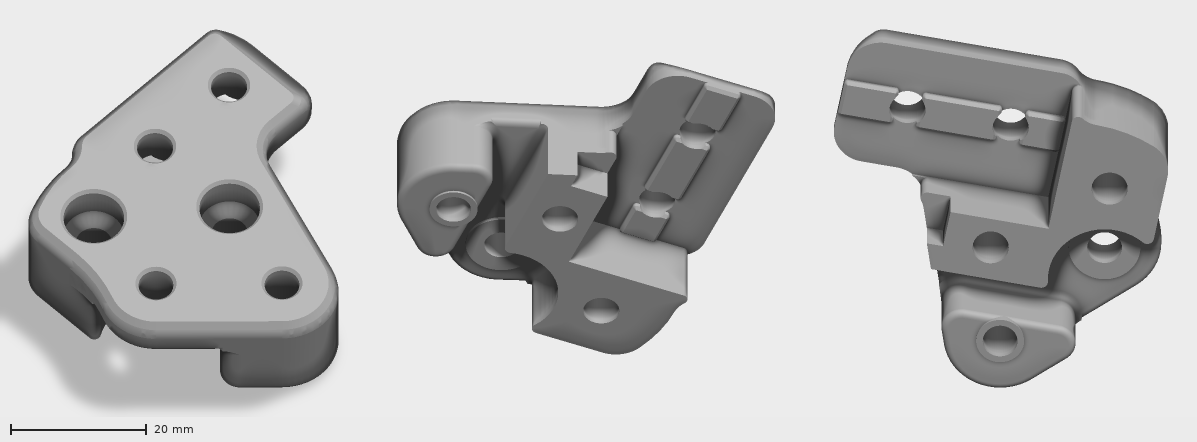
import cadquery as cq
import math

TOTAL_HEIGHT = 16.0
PLATE_THICKNESS = 5.55
ARM_THICKNESS = 6.05
POST_BOTTOM = 15.45
OVERLAP_DEPTH = 3.1

ARM_HOLE_PITCH = 15.5
ARM_HOLES = [(0, 0), (0, ARM_HOLE_PITCH)]
SCREW_HOLES = [(ARM_HOLE_PITCH, 0), (2.5, -15.35)]
POST_HOLE = (30.7, -4.35)
PAD_HOLE = (17.55, -17.5)

ARM_LEFT = -9.9
ARM_RIGHT = 10.2
ARM_END = 25.5
ARM_RADIUS = 5.0
LOBE_RADIUS = 8.35
LOWER_EDGE = -23.35
LOWER_CORNER_RADIUS = 5.0
SWEEP_RADIUS = 22.0
STEP_RADIUS = 4.0
STEP_START = -5.75
STEP_WIDTH = 2.35
INNER_CORNER_Y = 15.15

EDGE_CHAMFER = 1.5
END_CHAMFER = 4.45
TOP_BLEND = 2.0
UNDER_ROUND = 1.0

BLOCK_LEFT = 10.85
BLOCK_RIGHT = 20.75
LEDGE_Y = -7.75
NOSE_RADIUS = 0.9
ARM_LIP_Y = LEDGE_Y - 2 * NOSE_RADIUS
BLOCK_RADIUS = 1.0
NOTCH_X = 16.65
NOTCH_Y = 6.95
NOTCH_TOP = 11.1
POST_LEFT = 27.2
POST_RADIUS = 3.0

RIDGE_WIDTH = 5.8
RIDGE_HEIGHT = 1.05
RIDGE_CHAMFER = 0.45
RIDGE_CORNER = 0.5
RIDGE_GAP = 3.55
POST_PAD_HEIGHT = 0.35
LOWER_PAD_RADIUS = 5.3

SCREW_DIAMETER = 5.35
NARROW_DIAMETER = 5.15
COUNTERBORE_DIAMETER = 8.95
COUNTERBORE_DEPTH = 5.0
HOLE_CHAMFER = 0.45

REACH = 102.75
MIN_SEGMENT = 0.005


def outline_circles():
    """Circles that carry the outline, counter-clockwise; a negative radius is a hollow arc."""
    step_x = ARM_LEFT + STEP_WIDTH
    upper_step = (ARM_LEFT + STEP_RADIUS, STEP_START)
    lower_step_x = step_x - STEP_RADIUS
    step_drop = math.sqrt((2 * STEP_RADIUS) ** 2 - (upper_step[0] - lower_step_x) ** 2)
    lower_step = (lower_step_x, STEP_START - step_drop)

    side_sweep = (step_x + SWEEP_RADIUS, lower_step[1])
    corner_y = LOWER_EDGE + LOWER_CORNER_RADIUS
    corner_reach = math.sqrt((SWEEP_RADIUS - LOWER_CORNER_RADIUS) ** 2 - (side_sweep[1] - corner_y) ** 2)
    lower_corner = (side_sweep[0] - corner_reach, corner_y)

    sweep_y = LOWER_EDGE - SWEEP_RADIUS
    sweep_reach = math.sqrt((SWEEP_RADIUS + LOBE_RADIUS) ** 2 - (PAD_HOLE[1] - sweep_y) ** 2)
    lower_sweep = (PAD_HOLE[0] - sweep_reach, sweep_y)

    arm_corner_y = ARM_END - ARM_RADIUS
    return [
        (lower_corner, LOWER_CORNER_RADIUS),
        (lower_sweep, -SWEEP_RADIUS),
        (PAD_HOLE, LOBE_RADIUS),
        (POST_HOLE, LOBE_RADIUS),
        ((ARM_RIGHT + ARM_RADIUS, INNER_CORNER_Y), -ARM_RADIUS),
        ((ARM_RIGHT - ARM_RADIUS, arm_corner_y), ARM_RADIUS),
        ((ARM_LEFT + ARM_RADIUS, arm_corner_y), ARM_RADIUS),
        (upper_step, STEP_RADIUS),
        (lower_step, -STEP_RADIUS),
        (side_sweep, SWEEP_RADIUS),
    ]


def tangent_angle(first, second):
    """Angle of the outward normal of the line that touches both circles."""
    (x1, y1), r1 = first
    (x2, y2), r2 = second
    distance = math.hypot(x2 - x1, y2 - y1)
    ratio = max(-1.0, min(1.0, (r1 - r2) / distance))
    return math.atan2(y2 - y1, x2 - x1) - math.acos(ratio)


def point_on(circle, angle):
    (x, y), radius = circle
    return (x + radius * math.cos(angle), y + radius * math.sin(angle))


def outline_prism(top, bottom):
    """Solid with the part's outline between two depths below the top face."""
    circles = outline_circles()
    count = len(circles)
    angles = [tangent_angle(circles[i], circles[(i + 1) % count]) for i in range(count)]
    position = point_on(circles[0], angles[-1])
    wire = cq.Workplane("XY").workplane(offset=-bottom).moveTo(*position)
    for i, circle in enumerate(circles):
        start = point_on(circle, angles[i - 1])
        if math.dist(position, start) > MIN_SEGMENT:
            wire = wire.lineTo(*start)
        turn = math.remainder(angles[i] - angles[i - 1], 2 * math.pi)
        position = point_on(circle, angles[i])
        wire = wire.threePointArc(point_on(circle, angles[i - 1] + turn / 2), position)
    return wire.close().extrude(bottom - top)


def box(x_min, x_max, y_min, y_max, top, bottom):
    size = (x_max - x_min, y_max - y_min, bottom - top)
    return cq.Workplane("XY").box(*size, centered=False).translate((x_min, y_min, -bottom))


def cylinder(center, radius, top, bottom):
    return cq.Workplane("XY").workplane(offset=-bottom).center(*center).circle(radius).extrude(bottom - top)


def nearest_upright(body, x, y):
    """Upright edge of the body closest to a point in plan."""
    middle = body.val().BoundingBox().center.z
    return body.edges("|Z").edges(cq.selectors.NearestToPointSelector((x, y, middle)))


def make_blank():
    """Full-height body with every top edge chamfered and blended into the sides."""
    blank = outline_prism(0, TOTAL_HEIGHT).faces(">Z").edges().chamfer(EDGE_CHAMFER)
    end_cut = (
        cq.Workplane("YZ")
        .polyline([(ARM_END - END_CHAMFER, 0), (ARM_END, 0), (ARM_END, -END_CHAMFER)])
        .close()
        .extrude(REACH, both=True)
    )
    blank = blank.cut(end_cut)
    blank = blank.edges("%PARABOLA").fillet(TOP_BLEND)
    side_edge = cq.selectors.NearestToPointSelector((ARM_LEFT, ARM_HOLE_PITCH / 2, -EDGE_CHAMFER))
    return blank.edges(side_edge).fillet(TOP_BLEND)


def make_plate():
    """Main plate with a rounded lower edge, and the slightly thicker arm."""
    plate = outline_prism(0, PLATE_THICKNESS).faces("<Z").edges().fillet(UNDER_ROUND)
    arm_trim = box(-REACH, BLOCK_LEFT, ARM_LIP_Y, REACH, OVERLAP_DEPTH, ARM_THICKNESS)
    return plate.union(outline_prism(OVERLAP_DEPTH, ARM_THICKNESS).intersect(arm_trim))


def make_block_core():
    """Block walls inside the part; the core overshoots the outline on its outer sides."""
    core = box(-REACH, BLOCK_RIGHT, LOWER_EDGE, REACH, OVERLAP_DEPTH, TOTAL_HEIGHT)
    core = core.cut(cylinder(PAD_HOLE, LOBE_RADIUS, OVERLAP_DEPTH, TOTAL_HEIGHT))
    core = nearest_upright(core, BLOCK_RIGHT, PAD_HOLE[1] + LOBE_RADIUS).fillet(BLOCK_RADIUS)
    return nearest_upright(core, PAD_HOLE[0] - LOBE_RADIUS, LOWER_EDGE).fillet(BLOCK_RADIUS)


def make_block():
    """Deep block beside and below the arm, with a stepped notch in its upper left corner."""
    block = outline_prism(OVERLAP_DEPTH, TOTAL_HEIGHT).intersect(make_block_core())
    block = block.cut(box(-REACH, BLOCK_LEFT, LEDGE_Y, REACH, OVERLAP_DEPTH, TOTAL_HEIGHT))
    block = nearest_upright(block, ARM_LEFT, LEDGE_Y).fillet(NOSE_RADIUS)
    block = nearest_upright(block, BLOCK_LEFT, INNER_CORNER_Y).fillet(BLOCK_RADIUS)
    return block.cut(box(-REACH, NOTCH_X, NOTCH_Y, REACH, NOTCH_TOP, TOTAL_HEIGHT))


def make_post_core():
    """Deep post at the far end of the plate, before its lower edge is rounded."""
    post = outline_prism(OVERLAP_DEPTH, POST_BOTTOM)
    post = post.intersect(box(POST_LEFT, REACH, -REACH, REACH, OVERLAP_DEPTH, POST_BOTTOM))
    return post.edges("|Z and <X").fillet(POST_RADIUS)


def make_post():
    """Post with its lower edge rounded."""
    return make_post_core().faces("<Z").edges().fillet(UNDER_ROUND)


def make_foot_blend():
    """Hollow blend where the block and the post meet the underside of the plate."""
    bottom = PLATE_THICKNESS + UNDER_ROUND
    clearance = box(ARM_LEFT, REACH, -REACH, REACH, PLATE_THICKNESS, POST_BOTTOM)
    clearance = clearance.cut(make_block_core()).cut(make_post_core())
    clearance = clearance.faces(">Z").edges().fillet(UNDER_ROUND)
    open_edge = clearance.faces(">Z").wires().toPending().extrude(PLATE_THICKNESS - OVERLAP_DEPTH)
    foot = outline_prism(OVERLAP_DEPTH, bottom).cut(clearance).cut(open_edge)
    return foot.cut(box(-REACH, BLOCK_LEFT, ARM_LIP_Y, REACH, OVERLAP_DEPTH, bottom))


def make_ridge_segments():
    """Locating ridge along the arm, interrupted around each arm hole."""
    half_gap = RIDGE_GAP / 2
    spans = [
        (LEDGE_Y, -half_gap),
        (half_gap, ARM_HOLE_PITCH - half_gap),
        (ARM_HOLE_PITCH + half_gap, ARM_END),
    ]
    bottom = ARM_THICKNESS + RIDGE_HEIGHT
    segments = []
    for start, end in spans:
        segment = box(-RIDGE_WIDTH / 2, RIDGE_WIDTH / 2, start, end, PLATE_THICKNESS, bottom)
        segment = segment.edges("|Z").fillet(RIDGE_CORNER)
        segments.append(segment.faces("<Z").edges().chamfer(RIDGE_CHAMFER))
    return segments


def drill(body, center, diameter, mouth_diameter):
    """Through hole with a mouth of the given diameter, bevelled at the top face."""
    body = body.cut(cylinder(center, diameter / 2, 0, TOTAL_HEIGHT))
    mouth_radius = mouth_diameter / 2
    bevel = cq.Solid.makeCone(
        mouth_radius, mouth_radius + HOLE_CHAMFER, HOLE_CHAMFER, cq.Vector(*center, -HOLE_CHAMFER)
    )
    return body.cut(cq.Workplane(bevel))


def counterbore(body, center):
    """Straight counterbore with a conical seat that narrows to the screw hole."""
    bore_radius = COUNTERBORE_DIAMETER / 2
    seat_depth = bore_radius - SCREW_DIAMETER / 2
    seat_bottom = COUNTERBORE_DEPTH + seat_depth
    body = body.cut(cylinder(center, bore_radius, 0, COUNTERBORE_DEPTH))
    seat = cq.Solid.makeCone(
        SCREW_DIAMETER / 2, bore_radius, seat_depth, cq.Vector(*center, -seat_bottom)
    )
    return body.cut(cq.Workplane(seat))


def make_pads():
    """Low round pads below the two narrow holes."""
    plate_pad = cylinder(PAD_HOLE, LOWER_PAD_RADIUS, OVERLAP_DEPTH, ARM_THICKNESS)
    post_pad_bottom = POST_BOTTOM + POST_PAD_HEIGHT
    post_pad = cylinder(POST_HOLE, POST_HOLE[0] - POST_LEFT, OVERLAP_DEPTH, post_pad_bottom)
    return plate_pad.union(post_pad)


under_body = make_plate().union(make_block()).union(make_post())
under_body = under_body.union(make_foot_blend()).union(make_pads())
bracket = make_blank().intersect(under_body)
for ridge_segment in make_ridge_segments():
    bracket = bracket.union(ridge_segment)

for hole in ARM_HOLES:
    bracket = drill(bracket, hole, SCREW_DIAMETER, SCREW_DIAMETER)
for hole in (POST_HOLE, PAD_HOLE):
    bracket = drill(bracket, hole, NARROW_DIAMETER, NARROW_DIAMETER)
for hole in SCREW_HOLES:
    bracket = drill(bracket, hole, SCREW_DIAMETER, COUNTERBORE_DIAMETER)
    bracket = counterbore(bracket, hole)

result = bracket